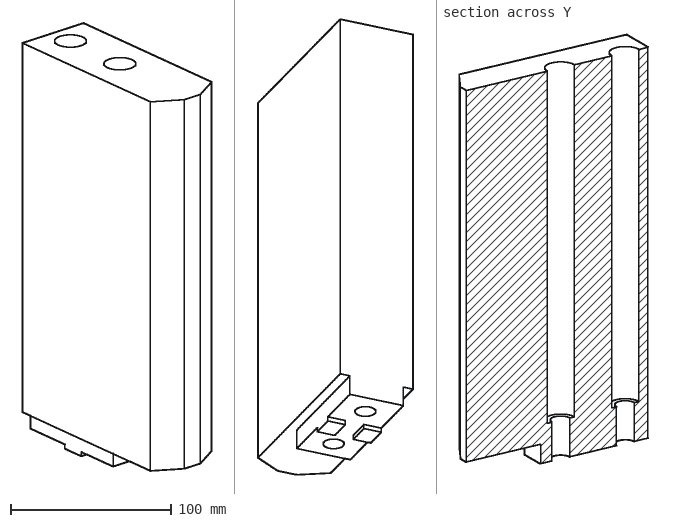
import cadquery as cq

length = 135.0
width = 50.0
total_height = 266.0

bevel_length = 11.0
nose_width = 13.0

foot_length = 80.0
foot_width = 36.7
foot_height = 13.0
key_length = 16.0
key_start = 33.2
key_width = 12.0
key_height = 3.0
body_height = total_height - foot_height - key_height

hole_diameter = 13.0
counterbore_diameter = 20.0
first_hole_x = 17.0
hole_spacing = 48.0
web_height = 13.3



def make_body():
    """Tall block with a bevelled nose at +X."""
    shoulder_x = length - bevel_length
    outline = [
        (0, -width / 2),
        (shoulder_x, -width / 2),
        (length, -nose_width / 2),
        (length, nose_width / 2),
        (shoulder_x, width / 2),
        (0, width / 2),
    ]
    return cq.Workplane("XY").workplane(offset=foot_height).polyline(outline).close().extrude(body_height)


def make_foot():
    """Narrow foot with one key along each long edge."""
    foot = cq.Workplane("XY").box(foot_length, foot_width, foot_height, centered=(False, True, False))
    key_y = (foot_width - key_width) / 2
    for side in (-1, 1):
        key = (
            cq.Workplane("XY")
            .box(key_length, key_width, key_height, centered=(False, True, False))
            .translate((key_start, side * key_y, -key_height))
        )
        foot = foot.union(key)
    return foot


def make_screw_hole(x):
    """Through hole with a deep counterbore open at the top."""
    bottom = -key_height
    top = foot_height + body_height
    seat = foot_height + web_height
    hole = cq.Workplane("XY", origin=(x, 0, bottom)).circle(hole_diameter / 2).extrude(top - bottom)
    counterbore = cq.Workplane("XY", origin=(x, 0, seat)).circle(counterbore_diameter / 2).extrude(top - seat)
    return hole.union(counterbore)


result = make_body().union(make_foot())
for hole_x in (first_hole_x, first_hole_x + hole_spacing):
    result = result.cut(make_screw_hole(hole_x))